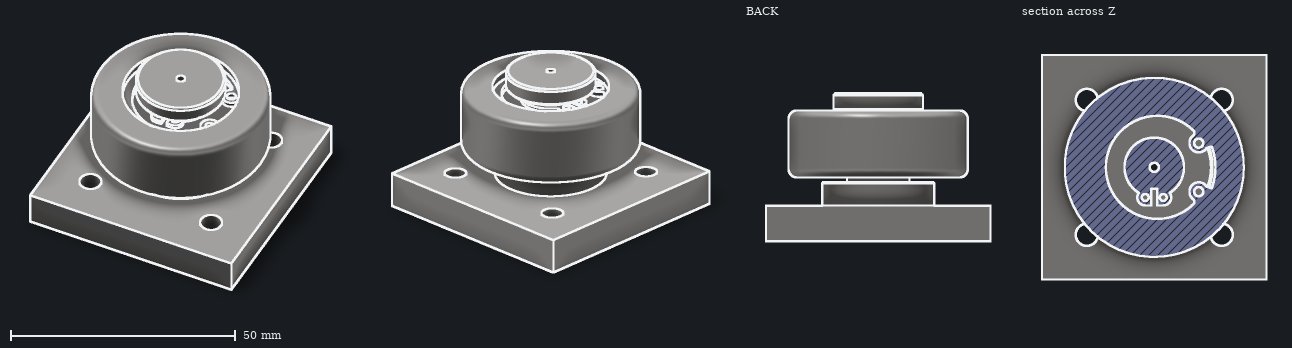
import cadquery as cq
import math

plate_side = 50.0
plate_height = 8.0
mount_hole_diameter = 4.9
mount_hole_pitch = 30.0

collar_diameter = 25.0
collar_top = 13.2
collar_chamfer = 0.25
neck_diameter = 14.0
shaft_diameter = 10.0
head_diameter = 20.0
head_bottom = 29.0
head_top = 33.0
head_chamfer = 0.5
oil_hole_diameter = 2.0

roller_diameter = 40.0
roller_bottom = 14.2
roller_height = 15.0
roller_fillet = 2.0
roller_top = roller_bottom + roller_height
recess_diameter = 26.0
recess_floor = 26.0
floor_edge_chamfer = 0.4

clip_groove_diameter = 27.2
clip_thickness = 1.2
clip_inner_radius = 11.45
clip_inner_offset = 0.7
clip_gap_half_angle = math.radians(20.0)
lug_x = 9.9
lug_y = 5.4
lug_radius = 2.1
lug_hole_diameter = 2.0
lug_blend_radius = 0.75

pin_clip_diameter = 13.3
pin_clip_thickness = 0.8
pin_groove_diameter = 9.6
pin_clip_gap = 1.3
pin_lug_x = 2.0
pin_lug_y = -6.7
pin_lug_radius = 1.8
pin_lug_hole_diameter = 1.5


def cylinder(diameter, bottom, top):
    return cq.Workplane("XY").workplane(offset=bottom).circle(diameter / 2).extrude(top - bottom)


def make_plate():
    plate = cq.Workplane("XY").rect(plate_side, plate_side).extrude(plate_height)
    corners = plate.faces(">Z").workplane().rect(mount_hole_pitch, mount_hole_pitch, forConstruction=True)
    return corners.vertices().hole(mount_hole_diameter)


def make_pin():
    collar = cylinder(collar_diameter, plate_height, collar_top).faces(">Z").chamfer(collar_chamfer)
    neck = cylinder(neck_diameter, plate_height, recess_floor)
    shaft = cylinder(shaft_diameter, recess_floor, head_bottom)
    groove_top = recess_floor + pin_clip_thickness
    groove = cylinder(shaft_diameter, recess_floor, groove_top)
    groove_core = cylinder(pin_groove_diameter, recess_floor, groove_top)
    shaft = shaft.cut(groove).union(groove_core)
    head = cylinder(head_diameter, head_bottom, head_top).faces("<Z or >Z").chamfer(head_chamfer)
    return collar.union(neck).union(shaft).union(head)


def make_roller():
    roller = cylinder(roller_diameter, roller_bottom, roller_top).faces("<Z or >Z").fillet(roller_fillet)
    recess = cylinder(recess_diameter, recess_floor, roller_top)
    groove = cylinder(clip_groove_diameter, recess_floor, recess_floor + clip_thickness)
    recess_radius = recess_diameter / 2
    relief = (
        cq.Workplane("XZ")
        .moveTo(recess_radius - floor_edge_chamfer, recess_floor)
        .lineTo(recess_radius, recess_floor)
        .lineTo(recess_radius, recess_floor - floor_edge_chamfer)
        .close()
        .revolve(360, (0, 0, 0), (0, 1, 0))
    )
    return roller.cut(recess).cut(groove).cut(relief)


def make_clip():
    clip_top = recess_floor + clip_thickness
    base = cq.Workplane("XY").workplane(offset=recess_floor)
    opening = base.center(clip_inner_offset, 0).circle(clip_inner_radius).extrude(clip_thickness)
    gap_reach = clip_groove_diameter
    gap_half_width = gap_reach * math.tan(clip_gap_half_angle)
    gap = base.polyline([(0, 0), (gap_reach, -gap_half_width), (gap_reach, gap_half_width)]).close()
    clip = cylinder(clip_groove_diameter, recess_floor, clip_top).cut(opening)
    clip = clip.cut(gap.extrude(clip_thickness))
    lug_centres = [(lug_x, -lug_y), (lug_x, lug_y)]
    lugs = base.pushPoints(lug_centres).circle(lug_radius).extrude(clip_thickness)
    lug_holes = base.pushPoints(lug_centres).circle(lug_hole_diameter / 2).extrude(clip_thickness)
    clip = clip.union(lugs)
    blend_zone = cq.selectors.BoxSelector(
        (lug_x - lug_radius, -clip_inner_radius, recess_floor),
        (lug_x + lug_radius / 2, clip_inner_radius, clip_top),
    )
    upright_edges = cq.selectors.ParallelDirSelector(cq.Vector(0, 0, 1))
    clip = clip.edges(upright_edges & blend_zone).fillet(lug_blend_radius)
    return clip.cut(lug_holes)


def make_pin_clip():
    base = cq.Workplane("XY").workplane(offset=recess_floor)
    clip = base.circle(pin_clip_diameter / 2).extrude(pin_clip_thickness)
    lug_centres = [(-pin_lug_x, pin_lug_y), (pin_lug_x, pin_lug_y)]
    lugs = base.pushPoints(lug_centres).circle(pin_lug_radius).extrude(pin_clip_thickness)
    flat_end = (
        base.center(0, pin_lug_y / 2 - pin_lug_radius / 2)
        .rect(2 * pin_lug_x, pin_lug_radius - pin_lug_y)
        .extrude(pin_clip_thickness)
    )
    lug_holes = base.pushPoints(lug_centres).circle(pin_lug_hole_diameter / 2).extrude(pin_clip_thickness)
    gap = base.center(0, pin_lug_y).rect(pin_clip_gap, -2 * pin_lug_y).extrude(pin_clip_thickness)
    bore = base.circle(pin_groove_diameter / 2).extrude(pin_clip_thickness)
    return clip.union(lugs).union(flat_end).cut(lug_holes).cut(gap).cut(bore)


body = make_plate().union(make_pin()).union(make_roller())
body = body.union(make_clip()).union(make_pin_clip())
result = body.cut(cylinder(oil_hole_diameter, 0, head_top))